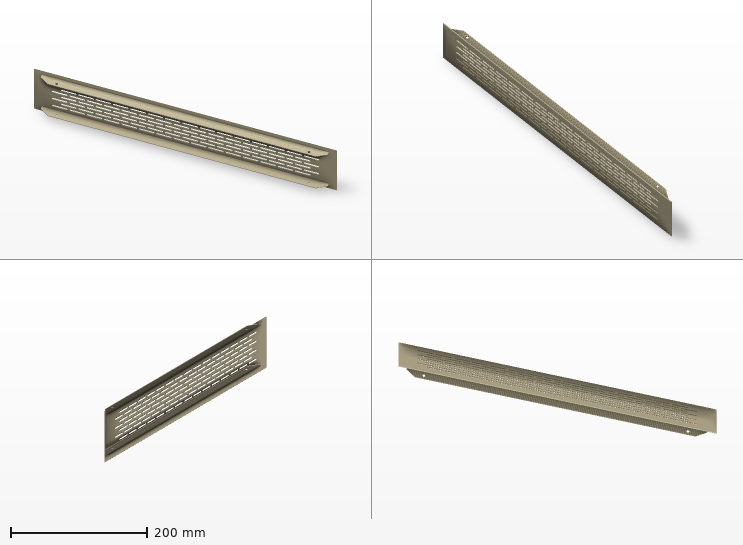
import cadquery as cq
PLATE_LENGTH = 480.0
PLATE_HEIGHT = 80.0
PLATE_THICKNESS = 1.2
PLATE_CHAMFER = 1.0

TOTAL_DEPTH = 16.5
FLANGE_DEPTH = TOTAL_DEPTH - PLATE_THICKNESS
FLANGE_THICKNESS = 1.0
FLANGE_SPACING = 63.5
FLANGE_ROOT_LENGTH = 454.0
FLANGE_TIP_LENGTH = 424.0
FLANGE_STRAIGHT_DEPTH = 5.3

GROOVE_START = 3.5
GROOVE_PITCH = 1.5
GROOVE_DEPTH = 0.5
GROOVE_COUNT = 7

END_HOLE_DIAMETER = 4.0
END_HOLE_SPACING = 399.0
END_HOLE_DISTANCE = 10.0

SLOT_LENGTH = 25.0
SLOT_HEIGHT = 3.0
SLOT_PITCH = 27.45
SLOT_COUNT = 15
ROW_PITCH = 7.0
ROW_COUNT = 8
ROW_STAGGER = 14.0
SLOT_FIELD_X = 0.15
SLOT_FIELD_Z = 0.5


def make_plate():
    plate = cq.Workplane("XY").box(
        PLATE_LENGTH, PLATE_THICKNESS, PLATE_HEIGHT, centered=(True, False, True)
    )
    return plate.faces(">Y").edges().chamfer(PLATE_CHAMFER)


def make_slots():
    centers = []
    for row in range(ROW_COUNT):
        z = SLOT_FIELD_Z + (row - (ROW_COUNT - 1) / 2) * ROW_PITCH
        direction = 1 if row % 2 else -1
        row_center = SLOT_FIELD_X + direction * ROW_STAGGER / 2
        for column in range(SLOT_COUNT):
            x = row_center + (column - (SLOT_COUNT - 1) / 2) * SLOT_PITCH
            centers.append((x, z))
    return (
        cq.Workplane("XZ", origin=(0, PLATE_THICKNESS, 0))
        .pushPoints(centers)
        .slot2D(SLOT_LENGTH, SLOT_HEIGHT)
        .extrude(PLATE_THICKNESS)
    )


def make_flange_blank(z):
    half_root = FLANGE_ROOT_LENGTH / 2
    half_tip = FLANGE_TIP_LENGTH / 2
    outline = [
        (-half_root, 0),
        (-half_root, -FLANGE_STRAIGHT_DEPTH),
        (-half_tip, -FLANGE_DEPTH),
        (half_tip, -FLANGE_DEPTH),
        (half_root, -FLANGE_STRAIGHT_DEPTH),
        (half_root, 0),
    ]
    return (
        cq.Workplane("XY", origin=(0, 0, z - FLANGE_THICKNESS / 2))
        .polyline(outline)
        .close()
        .extrude(FLANGE_THICKNESS)
    )


def make_groove(index, side):
    outer_z = side * (FLANGE_SPACING + FLANGE_THICKNESS) / 2
    floor_z = outer_z - side * GROOVE_DEPTH
    near_y = -GROOVE_START - index * GROOVE_PITCH
    far_y = near_y - GROOVE_PITCH
    return (
        cq.Workplane("YZ")
        .polyline([(near_y, outer_z), (far_y, outer_z), (far_y, floor_z)])
        .close()
        .extrude(FLANGE_ROOT_LENGTH / 2, both=True)
    )


def make_end_holes(z):
    half_spacing = END_HOLE_SPACING / 2
    return (
        cq.Workplane("XY", origin=(0, -END_HOLE_DISTANCE, z))
        .pushPoints([(-half_spacing, 0), (half_spacing, 0)])
        .circle(END_HOLE_DIAMETER / 2)
        .extrude(FLANGE_THICKNESS, both=True)
    )


def make_flange(side):
    z = side * FLANGE_SPACING / 2
    flange = make_flange_blank(z)
    for index in range(GROOVE_COUNT):
        flange = flange.cut(make_groove(index, side))
    return flange.cut(make_end_holes(z))


result = make_plate().cut(make_slots())
for flange_side in (-1, 1):
    result = result.union(make_flange(flange_side))